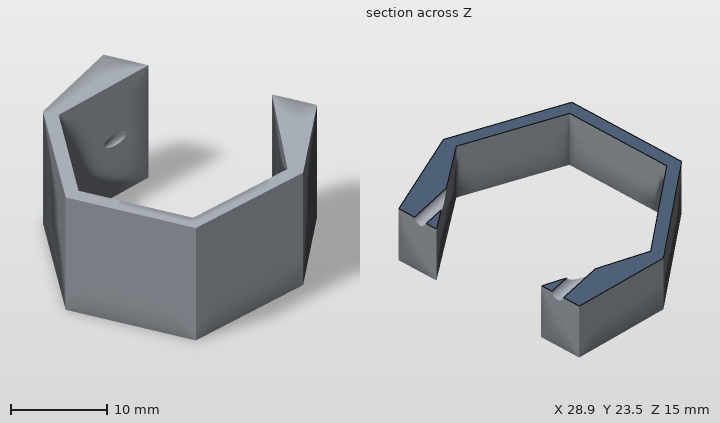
import cadquery as cq
import math

height = 15.0
outer_across_flats = 25.0
wall = 1.5
jaw_length = 11.0
jaw_tip_thickness = 5.0
jaw_tip_outer_x = 11.85

screw_hole_diameter = 1.5
screw_hole_x = 9.0

flat_over_corner = math.cos(math.pi / 6)
outer_flat = outer_across_flats / 2
inner_flat = outer_flat - wall
outer_corner = outer_flat / flat_over_corner
inner_corner = inner_flat / flat_over_corner
jaw_tip_inner_x = jaw_tip_outer_x - jaw_tip_thickness


def clip_body():
    """Open band with a hexagonal lower half and jaws that thicken towards +Y."""
    outer_right = [(outer_corner / 2, -outer_flat), (outer_corner, 0), (jaw_tip_outer_x, jaw_length)]
    inner_right = [(jaw_tip_inner_x, jaw_length), (inner_corner, 0), (inner_corner / 2, -inner_flat)]
    right_side = outer_right + inner_right
    left_side = [(-x, y) for x, y in reversed(right_side)]
    return cq.Workplane("XY").polyline(right_side + left_side).close().extrude(height)


def screw_hole(x):
    """Cutter along Y from a jaw end face through the slanted inner face."""
    return (
        cq.Workplane("XZ", origin=(x, jaw_length, height / 2))
        .circle(screw_hole_diameter / 2)
        .extrude(jaw_length)
    )


result = clip_body()
for side in (-1, 1):
    result = result.cut(screw_hole(side * screw_hole_x))